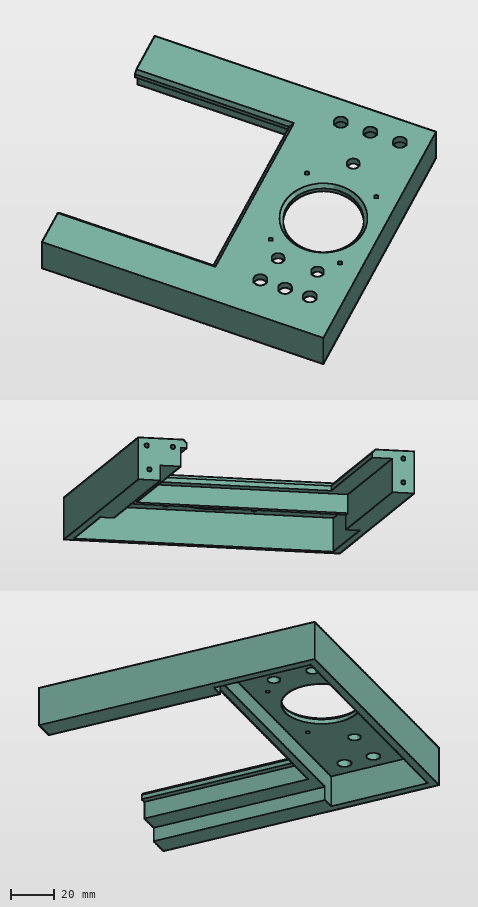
import cadquery as cq

LENGTH = 142.5
WIDTH = 132.2
HEIGHT = 20.0

PLATE = 4.0
HEAD_WALL = 4.0
ARM_WALL = 10.5
BAR_BOTTOM = 7.1
BAR_FRONT = 84.6
THICK_ARM = 20.4
CEILING = HEIGHT - PLATE

OPENING_END = 78.1
OPENING_Y_MIN = 20.2
OPENING_Y_MAX = 109.0
EDGE_CHAMFER = 1.7

WINDOW_X = 114.5
WINDOW_Y = 64.8
WINDOW_DIAMETER = 37.5
SCREW_OFFSET_X = 17.5
SCREW_OFFSET_Y = 21.2
SCREW_DIAMETER = 2.0

LARGE_HOLE = 6.5
SMALL_HOLE = 6.0
UPPER_ROW_Y = 119.8
UPPER_ROW_PITCH = 15.0
LOWER_ROW_Y = 19.8
LOWER_ROW_PITCH = 12.5
SINGLE_HOLE_Y = 99.8
PAIR_Y = 34.8
PAIR_OFFSET_X = 10.0

END_HOLE_DEPTH = 10.0
END_HOLE_DIAMETER = 2.0
END_HOLE_TOP_Z = HEIGHT - 3.7
END_HOLE_LOW_Z = 5.0
SIDE_HOLE_INSET = 4.0
INNER_HOLE_INSET = 16.5


def block(x_range, y_range, z_range):
    """Axis-aligned box given by its limits."""
    x0, x1 = x_range
    y0, y1 = y_range
    z0, z1 = z_range
    return cq.Workplane("XY").box(x1 - x0, y1 - y0, z1 - z0, centered=False).translate((x0, y0, z0))


def plate_holes(diameter, points):
    """Vertical holes through the top plate."""
    return (
        cq.Workplane("XY", origin=(0, 0, CEILING))
        .pushPoints(points)
        .circle(diameter / 2)
        .extrude(PLATE)
    )


def end_holes(points):
    """Blind holes running along X from the arm ends; points are (y, z)."""
    return cq.Workplane("YZ").pushPoints(points).circle(END_HOLE_DIAMETER / 2).extrude(END_HOLE_DEPTH)


def make_body():
    """Frame hollowed from below, leaving the plate, arms, cross bar and head walls."""
    cavity_start = BAR_FRONT + HEAD_WALL
    body = block((0, LENGTH), (0, WIDTH), (0, HEIGHT))
    arm_space = block((0, BAR_FRONT), (ARM_WALL, WIDTH - THICK_ARM), (0, CEILING))
    low_recess = block((0, cavity_start), (ARM_WALL, WIDTH - ARM_WALL), (0, BAR_BOTTOM))
    head_cavity = block(
        (cavity_start, LENGTH - HEAD_WALL), (HEAD_WALL, WIDTH - HEAD_WALL), (0, CEILING)
    )
    return body.cut(arm_space).cut(low_recess).cut(head_cavity)


def make_opening():
    """Opening between the arms, flared by a chamfer along its three top edges."""
    opening = block((0, OPENING_END), (OPENING_Y_MIN, OPENING_Y_MAX), (CEILING, HEIGHT))
    flare_width = OPENING_Y_MAX - OPENING_Y_MIN
    flare = (
        cq.Workplane("XY", origin=(0, (OPENING_Y_MIN + OPENING_Y_MAX) / 2, HEIGHT))
        .rect(2 * (OPENING_END + EDGE_CHAMFER), flare_width + 2 * EDGE_CHAMFER)
        .extrude(-EDGE_CHAMFER, taper=45)
    )
    return opening.union(flare)


def make_window():
    """Round window with a chamfered top edge."""
    radius = WINDOW_DIAMETER / 2
    profile = [
        (0, CEILING),
        (radius, CEILING),
        (radius, HEIGHT - EDGE_CHAMFER),
        (radius + EDGE_CHAMFER, HEIGHT),
        (0, HEIGHT),
    ]
    window = cq.Workplane("XZ").polyline(profile).close().revolve(360, (0, 0), (0, 1))
    return window.translate((WINDOW_X, WINDOW_Y, 0))


upper_row = [(WINDOW_X + i * UPPER_ROW_PITCH, UPPER_ROW_Y) for i in (-1, 0, 1)]
lower_row = [(WINDOW_X + i * LOWER_ROW_PITCH, LOWER_ROW_Y) for i in (-1, 0, 1)]
pair = [(WINDOW_X + side * PAIR_OFFSET_X, PAIR_Y) for side in (-1, 1)]
screws = [
    (WINDOW_X + sx * SCREW_OFFSET_X, WINDOW_Y + sy * SCREW_OFFSET_Y)
    for sx in (-1, 1)
    for sy in (-1, 1)
]

arm_centre = ARM_WALL / 2
end_hole_points = [
    (arm_centre, END_HOLE_TOP_Z),
    (arm_centre, END_HOLE_LOW_Z),
    (WIDTH - arm_centre, END_HOLE_LOW_Z),
    (WIDTH - SIDE_HOLE_INSET, END_HOLE_TOP_Z),
    (WIDTH - INNER_HOLE_INSET, END_HOLE_TOP_Z),
]

result = (
    make_body()
    .cut(make_opening())
    .cut(make_window())
    .cut(plate_holes(LARGE_HOLE, upper_row + lower_row))
    .cut(plate_holes(SMALL_HOLE, pair + [(WINDOW_X, SINGLE_HOLE_Y)]))
    .cut(plate_holes(SCREW_DIAMETER, screws))
    .cut(end_holes(end_hole_points))
)